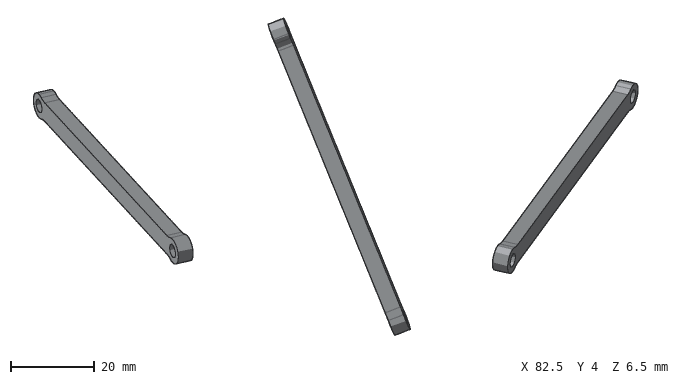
import cadquery as cq
import math

length = 82.5
thickness = 4.0
eye_diameter = 6.5
hole_diameter = 3.3
bar_height = 5.2
neck_radius = 5.0

eye_radius = eye_diameter / 2
bar_half = bar_height / 2
eye_x = length / 2 - eye_radius

neck_center_z = bar_half + neck_radius
center_distance = eye_radius + neck_radius
neck_run = math.sqrt(center_distance**2 - neck_center_z**2)
neck_angle = math.atan2(neck_center_z, neck_run)

eye_touch_run = eye_radius * math.cos(neck_angle)
eye_touch_z = eye_radius * math.sin(neck_angle)
shoulder_angle = (neck_angle + math.pi / 2) / 2
shoulder_run = eye_radius * math.cos(shoulder_angle)
shoulder_z = eye_radius * math.sin(shoulder_angle)
neck_mid_run = neck_run - neck_radius * math.cos(shoulder_angle)
neck_mid_z = neck_center_z - neck_radius * math.sin(shoulder_angle)


def add_end(outline, end, side):
    """Trace one end, entering along the edge at z sign `side` and leaving along the other."""

    def point(run, z):
        return (end * (eye_x - run), side * z)

    return (
        outline.lineTo(*point(neck_run, bar_half))
        .threePointArc(point(neck_mid_run, neck_mid_z), point(eye_touch_run, eye_touch_z))
        .threePointArc(point(shoulder_run, shoulder_z), point(0, eye_radius))
        .threePointArc(point(-eye_radius, 0), point(0, -eye_radius))
        .threePointArc(point(shoulder_run, -shoulder_z), point(eye_touch_run, -eye_touch_z))
        .threePointArc(point(neck_mid_run, -neck_mid_z), point(neck_run, -bar_half))
    )


outline = cq.Workplane("XZ", origin=(0, -thickness / 2, 0)).moveTo(neck_run - eye_x, bar_half)
outline = add_end(outline, end=1, side=1)
outline = add_end(outline, end=-1, side=-1)
link = outline.close().extrude(-thickness)

pins = (
    cq.Workplane("XZ", origin=(0, -thickness / 2, 0))
    .pushPoints([(-eye_x, 0), (eye_x, 0)])
    .circle(hole_diameter / 2)
    .extrude(-thickness)
)
result = link.cut(pins)